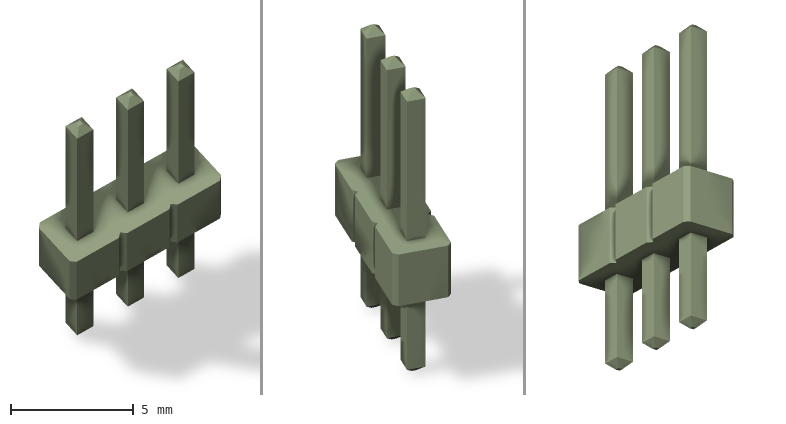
import cadquery as cq

pin_length = 13.5
unit_count = 3
pitch = 2.54

block_bottom = 4.01
block_height = 2.48
corner_chamfer = 0.2

pin_width = 0.81
tip_width = 0.2
taper_height = 0.3


def make_block():
    """Square housing block with its four upright edges chamfered."""
    return (
        cq.Workplane("XY", origin=(0, 0, block_bottom))
        .rect(pitch, pitch)
        .extrude(block_height)
        .edges("|Z")
        .chamfer(corner_chamfer)
    )


def make_taper(base_z, direction):
    """Pyramid-shaped pin point that narrows from base_z, upward (1) or downward (-1)."""
    return (
        cq.Workplane("XY", origin=(0, 0, base_z))
        .rect(pin_width, pin_width)
        .workplane(offset=direction * taper_height)
        .rect(tip_width, tip_width)
        .loft(ruled=True)
    )


def make_pin():
    """Square shank running the full height between the two tapered points."""
    shank_top = pin_length - taper_height
    shank = (
        cq.Workplane("XY", origin=(0, 0, taper_height))
        .rect(pin_width, pin_width)
        .extrude(shank_top - taper_height)
    )
    return shank.union(make_taper(shank_top, 1)).union(make_taper(taper_height, -1))


def make_header_unit(y_position):
    """One header unit: a block and its pin in one piece."""
    return make_block().union(make_pin()).translate((0, y_position, 0))


first_unit_y = -pitch * (unit_count - 1) / 2
header_units = [make_header_unit(first_unit_y + index * pitch) for index in range(unit_count)]

result = cq.Compound.makeCompound([unit.val() for unit in header_units])